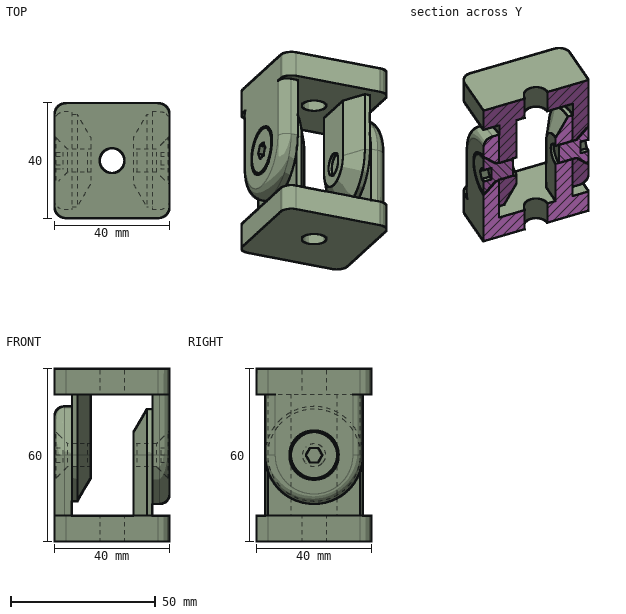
import cadquery as cq

height = 60.0
plate_width = 40.0
plate_thickness = 9.0
plate_corner_radius = 4.0
plate_hole_diameter = 8.5

outer_face = plate_width / 2
ear_contact = 14.0
inner_chamfer_start = 12.05
inner_face = 7.4
outer_ear_radius = 17.0
outer_ear_fillet = 3.5
inner_ear_radius = 16.0
inner_ear_tip_radius = 8.0

countersink_diameter = 17.15
head_diameter = 16.0
head_rim_height = (countersink_diameter - head_diameter) / 2
shank_diameter = 8.0
screw_end_recess = 1.2
hex_across_flats = 5.0
hex_depth = 3.0
hex_angle = 30

plate_bottom = -height / 2
plate_top = plate_bottom + plate_thickness
cone_start = outer_face - head_rim_height
screw_end = inner_face + screw_end_recess
head_cone_length = (head_diameter - shank_diameter) / 2


def x_cone(start_x, end_x, start_radius, end_radius):
    """Cone frustum on the hinge axis, running in +X from start_x to end_x."""
    cone = cq.Solid.makeCone(
        start_radius, end_radius, end_x - start_x, cq.Vector(start_x, 0, 0), cq.Vector(1, 0, 0)
    )
    return cq.Workplane(cone)


def x_cylinder(start_x, end_x, diameter):
    """Cylinder on the hinge axis between two X positions."""
    return cq.Workplane("YZ", origin=(start_x, 0, 0)).circle(diameter / 2).extrude(end_x - start_x)


def round_topped_ear(start_x, end_x, radius):
    """Upright slab from the plate up to a half-round top centred on the hinge axis."""
    return (
        cq.Workplane("YZ", origin=(start_x, 0, 0))
        .moveTo(-radius, plate_top)
        .lineTo(-radius, 0)
        .threePointArc((0, radius), (radius, 0))
        .lineTo(radius, plate_top)
        .close()
        .extrude(end_x - start_x)
    )


def make_plate():
    return (
        cq.Workplane("XY", origin=(0, 0, plate_bottom))
        .rect(plate_width, plate_width)
        .extrude(plate_thickness)
        .edges("|Z")
        .fillet(plate_corner_radius)
        .faces(">Z")
        .workplane()
        .hole(plate_hole_diameter)
    )


def make_outer_ear():
    """Ear flush with the -X plate side, rounded over on its outer face."""
    ear = round_topped_ear(-outer_face, -ear_contact, outer_ear_radius)
    ear = ear.faces("<X").edges("not <Z").fillet(outer_ear_fillet)
    countersink_depth = (countersink_diameter - shank_diameter) / 2
    countersink = x_cone(
        -outer_face, -outer_face + countersink_depth, countersink_diameter / 2, shank_diameter / 2
    )
    return ear.cut(countersink).cut(x_cylinder(-outer_face, -ear_contact, shank_diameter))


def make_inner_ear():
    """Ear on the +X side, tapering toward its inner face."""
    rim = round_topped_ear(inner_chamfer_start, ear_contact, inner_ear_radius)
    tapered_top = x_cone(inner_face, inner_chamfer_start, inner_ear_tip_radius, inner_ear_radius)
    tapered_post = (
        cq.Workplane("XY", origin=(0, 0, plate_top))
        .polyline([
            (inner_face, -inner_ear_tip_radius),
            (inner_chamfer_start, -inner_ear_radius),
            (inner_chamfer_start, inner_ear_radius),
            (inner_face, inner_ear_tip_radius),
        ])
        .close()
        .extrude(-plate_top)
    )
    upper_half = cq.Workplane("XY").box(
        plate_width, plate_width, height / 2, centered=(True, True, False)
    )
    ear = rim.union(tapered_top.intersect(upper_half)).union(tapered_post)
    return ear.cut(x_cylinder(inner_face, ear_contact, shank_diameter))


def make_bracket():
    return make_plate().union(make_outer_ear()).union(make_inner_ear())


def make_screw():
    """Countersunk screw flush with the -X side, with a hexagonal drive socket."""
    rim = x_cylinder(-outer_face, -cone_start, head_diameter)
    cone = x_cone(-cone_start, -cone_start + head_cone_length, head_diameter / 2, shank_diameter / 2)
    shank = x_cylinder(-cone_start + head_cone_length, -screw_end, shank_diameter)
    socket = (
        cq.Workplane("YZ", origin=(-outer_face, 0, 0))
        .polygon(6, hex_across_flats, circumscribed=True)
        .extrude(hex_depth)
        .rotate((0, 0, 0), (1, 0, 0), hex_angle)
    )
    return rim.union(cone).union(shank).cut(socket)


bodies = []
for half_turn in (0, 180):
    for body in (make_bracket(), make_screw()):
        bodies.append(body.rotate((0, 0, 0), (0, 1, 0), half_turn).val())

result = cq.Compound.makeCompound(bodies)